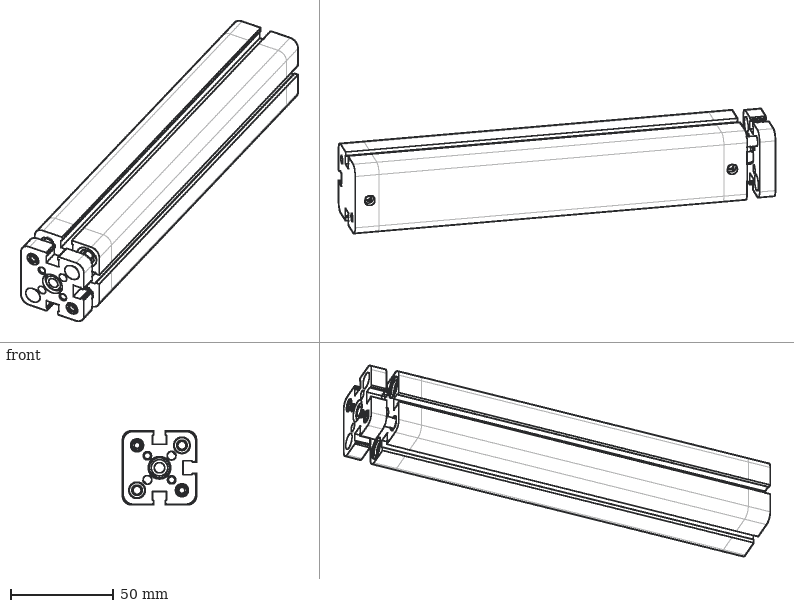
import cadquery as cq
import math

total_length = 211.5
plate_thickness = 8.0
plate_gap = 6.3
cap_length = 11.8
plate_front = -total_length / 2
plate_back = plate_front + plate_thickness
barrel_front = plate_back + plate_gap
barrel_back = total_length / 2

barrel_side = 36.5
plate_side = 35.5
corner_radius = 4.7

slot_floor = 11.6
plate_slot_width = 7.0
plate_neck_width = 5.7
plate_neck_depth = 1.5
barrel_mouth_width = 5.5
barrel_cavity_width = 6.8
barrel_lip_depth = 2.0
slot_angles = (0, 90, 180)

axis = ((0, 0),)
corner_offset = 11.0
inner_offset = 6.0
rod_corners = ((-corner_offset, corner_offset), (corner_offset, -corner_offset))
screw_corners = ((corner_offset, corner_offset), (-corner_offset, -corner_offset))
thread_places = ((-inner_offset, inner_offset), (inner_offset, -inner_offset))
dowel_places = ((inner_offset, inner_offset), (-inner_offset, -inner_offset))

access_diameter = 8.0
screw_recess_diameter = 11.0
screw_recess_depth = 0.6
screw_seat_diameter = 7.6
screw_seat_depth = 2.0
screw_bore_diameter = 4.0
screw_bore_mouth = 5.0

thread_diameter = 4.0
thread_core_diameter = 3.2
dowel_diameter = 4.2

guide_diameter = 5.0
guide_hole_diameter = 6.3
guide_chamfer = 0.2
guide_end = plate_front + 0.5
guide_centre_diameter = 3.0
guide_centre_depth = 2.1
guide_bearing_diameter = 7.5
guide_bearing_depth = 0.6

piston_diameter = 10.0
piston_hole_diameter = 11.0
piston_end = plate_front + 0.8
piston_end_diameter = 8.0
piston_flats = 8.0
piston_runout_start = 1.7
piston_runout_length = 1.5
shoulder_length = 1.0
shoulder_step = 0.5
piston_bore_diameter = 5.0
piston_bore_depth = 10.5

port_diameter = 5.0
port_core_diameter = 3.0
port_thread_depth = 3.2
port_core_depth = 1.7
port_end_distance = 7.5

rod_hole_depth = 3.2
drill_tip_angle = math.radians(59)
rod_embed = 2.1


def cylinder(places, diameter, y_start, length):
    """Round bars along +Y at the given (x, z) places."""
    sketch = cq.Workplane("XZ", origin=(0, y_start, 0)).pushPoints(places)
    return sketch.circle(diameter / 2).extrude(-length)


def taper(places, start_diameter, end_diameter, y_start, length):
    """Cones along +Y at the given (x, z) places."""
    cones = cq.Workplane("XY")
    for x, z in places:
        cone = cq.Solid.makeCone(
            start_diameter / 2, end_diameter / 2, length, cq.Vector(x, y_start, z), cq.Vector(0, 1, 0)
        )
        cones = cones.add(cone)
    return cones.combine()


def drilled_hole(places, diameter, y_start, depth):
    """Blind drilled holes with a conical bottom."""
    tip_length = diameter / 2 / math.tan(drill_tip_angle)
    tip = taper(places, diameter, 0, y_start + depth, tip_length)
    return cylinder(places, diameter, y_start, depth).union(tip)


def rounded_bar(side, y_start, length):
    """Square bar along +Y with rounded long edges."""
    bar = cq.Workplane("XZ", origin=(0, y_start, 0)).rect(side, side).extrude(-length)
    return bar.edges("|Y").fillet(corner_radius)


def cut_slots(body, half_outline, y_start, length):
    """Cut a symmetric slot, outlined for its +X half on the +Z side, into all slotted sides."""
    other_half = [(-x, z) for x, z in reversed(half_outline)]
    outline = cq.Workplane("XZ", origin=(0, y_start, 0)).polyline(half_outline + other_half)
    slot = outline.close().extrude(-length)
    for angle in slot_angles:
        body = body.cut(slot.rotate((0, 0, 0), (0, 1, 0), angle), clean=False)
    return body


def ports():
    """Threaded air ports, one in each end cap."""
    tip_length = port_core_diameter / 2 / math.tan(drill_tip_angle)
    core_bottom = port_thread_depth + port_core_depth
    outline = [
        (0, 0),
        (port_diameter / 2, 0),
        (port_diameter / 2, port_thread_depth),
        (port_core_diameter / 2, port_thread_depth),
        (port_core_diameter / 2, core_bottom),
        (0, core_bottom + tip_length),
    ]
    port = cq.Workplane("XY").polyline(outline).close().revolve(360, (0, 0, 0), (0, 1, 0))
    port = port.rotate((0, 0, 0), (0, 0, 1), -90).translate((-barrel_side / 2, 0, 0))
    front_port = port.translate((0, barrel_front + port_end_distance, 0))
    return front_port.add(port.translate((0, barrel_back - port_end_distance, 0))).combine()


def make_barrel():
    """Slotted barrel with its end caps, screw holes, rod bearings and ports."""
    barrel_length = barrel_back - barrel_front
    tube = rounded_bar(barrel_side, barrel_front + cap_length, barrel_length - 2 * cap_length)
    for cap_start in (barrel_front, barrel_back - cap_length):
        tube = tube.union(rounded_bar(barrel_side, cap_start, cap_length), clean=False)
    lip_bottom = barrel_side / 2 - barrel_lip_depth
    flare = (barrel_cavity_width - barrel_mouth_width) / 2
    half_outline = [
        (barrel_mouth_width / 2, barrel_side / 2),
        (barrel_mouth_width / 2, lip_bottom),
        (barrel_cavity_width / 2, lip_bottom - flare),
        (barrel_cavity_width / 2, slot_floor),
    ]
    tube = cut_slots(tube, half_outline, barrel_front, barrel_length)
    seat = barrel_front + screw_seat_depth
    mouth_depth = (screw_bore_mouth - screw_bore_diameter) / 2
    cutters = (
        cylinder(screw_corners, screw_recess_diameter, barrel_front, screw_recess_depth),
        cylinder(screw_corners, screw_seat_diameter, barrel_front, screw_seat_depth),
        taper(screw_corners, screw_bore_mouth, screw_bore_diameter, seat, mouth_depth),
        cylinder(screw_corners, screw_bore_diameter, barrel_front, barrel_length),
        cylinder(rod_corners, guide_bearing_diameter, barrel_front, guide_bearing_depth),
        ports(),
    )
    for cutter in cutters:
        tube = tube.cut(cutter, clean=False)
    return tube


def make_plate():
    """Slotted tool plate with its hole pattern."""
    plate = rounded_bar(plate_side, plate_front, plate_thickness)
    plate_top = plate_side / 2
    neck_bottom = plate_top - plate_neck_depth
    flare = (plate_slot_width - plate_neck_width) / 2
    half_outline = [
        (plate_slot_width / 2, plate_top),
        (plate_neck_width / 2, plate_top - flare),
        (plate_neck_width / 2, neck_bottom),
        (plate_slot_width / 2, neck_bottom - flare),
        (plate_slot_width / 2, slot_floor),
    ]
    plate = cut_slots(plate, half_outline, plate_front, plate_thickness)
    thread_lead = (thread_diameter - thread_core_diameter) / 2
    plate = plate.cut(taper(thread_places, thread_diameter, thread_core_diameter, plate_front, thread_lead))
    through_holes = (
        (screw_corners, access_diameter),
        (thread_places, thread_core_diameter),
        (dowel_places, dowel_diameter),
    )
    for places, diameter in through_holes:
        plate = plate.cut(cylinder(places, diameter, plate_front, plate_thickness))
    plate = plate.cut(cylinder(rod_corners, guide_hole_diameter, plate_front, rod_hole_depth))
    return plate.cut(cylinder(axis, piston_hole_diameter, plate_front, rod_hole_depth))


def make_guide_rods():
    rods = cylinder(rod_corners, guide_diameter, guide_end, barrel_front + rod_embed - guide_end)
    return rods.faces("<Y").chamfer(guide_chamfer)


def make_piston_rod():
    shaft = cylinder(axis, piston_diameter, plate_back, barrel_front + rod_embed - plate_back)
    shaft = shaft.faces("<Y").chamfer(shoulder_length, shoulder_step)
    runout_end = barrel_front - piston_runout_start
    flat_outline = [
        (piston_flats / 2, plate_back),
        (piston_flats / 2, runout_end - piston_runout_length),
        (piston_diameter / 2, runout_end),
        (piston_diameter / 2, plate_back),
    ]
    flat = cq.Workplane("XY").polyline(flat_outline).close().extrude(piston_diameter / 2, both=True)
    shaft = shaft.cut(flat).cut(flat.mirror("YZ"))
    spigot = cylinder(axis, piston_diameter, piston_end, plate_back - piston_end)
    spigot_chamfer = (piston_diameter - piston_end_diameter) / 2
    return shaft.union(spigot.faces("<Y").chamfer(spigot_chamfer))


def rod_end_bores():
    """Blind bores in the front ends of the guide rods and the piston rod."""
    guide_bores = drilled_hole(rod_corners, guide_centre_diameter, guide_end, guide_centre_depth)
    return guide_bores.union(drilled_hole(axis, piston_bore_diameter, piston_end, piston_bore_depth))


result = make_barrel()
for piece in (make_plate(), make_guide_rods(), make_piston_rod()):
    result = result.union(piece, clean=False)
result = result.cut(rod_end_bores(), clean=False).solids()